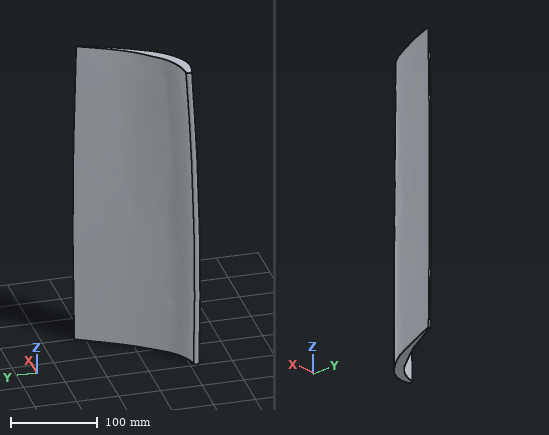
import cadquery as cq

span = 382.0
mid_height = 172.0
tip_bow = 1.7
pivot_x = -23.0
tail_x = 50.8

top_hollow = [(-48.5, -45.5), (-31.7, -42.0), (-12.0, -31.5), (-1.0, -20.2), (15.5, -0.5), (29.8, 23.0), (47.0, 59.5)]
top_bulge = [(49.3, 58.8), (41.0, 36.0), (32.0, 15.3), (21.5, -6.5), (7.5, -29.8), (-10.7, -47.5),
             (-23.5, -54.0), (-38.0, -55.0), (-48.5, -52.5)]
top_nose = (-51.0, -49.0)

base_hollow = [(-47.0, -55.0), (-31.7, -50.5), (-12.0, -35.0), (-1.0, -21.5), (15.5, 2.3), (29.8, 26.7), (48.5, 61.5)]
base_bulge = [(50.8, 60.7), (41.0, 37.5), (31.5, 16.5), (21.5, -5.7), (7.5, -29.5), (-3.0, -42.5),
              (-16.8, -55.7), (-31.7, -62.2), (-47.0, -62.0)]
base_nose = (-49.0, -58.5)


def bow(point):
    """Shift a point towards +Y in proportion to its signed X distance from the pivot."""
    x, y = point
    return x, y + tip_bow * (x - pivot_x) / (tail_x - pivot_x)


def section(hollow, bulge, nose, height):
    """Closed blade outline at the given height."""
    outline = (
        cq.Workplane("XY", origin=(0, 0, height))
        .moveTo(*hollow[0])
        .spline(hollow[1:], includeCurrent=True)
        .lineTo(*bulge[0])
        .spline(bulge[1:], includeCurrent=True)
        .threePointArc(nose, hollow[0])
        .close()
    )
    return outline.val()


base_section = section(base_hollow, base_bulge, base_nose, 0)
mid_section = section(
    [bow(point) for point in base_hollow],
    [bow(point) for point in base_bulge],
    bow(base_nose),
    mid_height,
)
top_section = section(top_hollow, top_bulge, top_nose, span)

blade = cq.Solid.makeLoft([base_section, mid_section, top_section], False)
result = cq.Workplane("XY").newObject([blade])